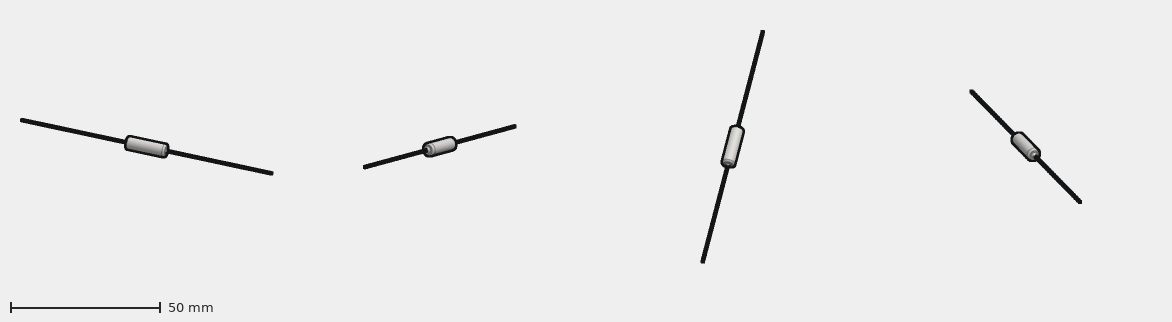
import cadquery as cq

overall_length = 90.42
body_diameter = 4.75
body_length = 14.22
body_edge_radius = 0.75
lead_diameter = 0.81
flare_radius = 0.75

body_radius = body_diameter / 2
lead_radius = lead_diameter / 2

tip_x = overall_length / 2
face_x = body_length / 2
flare_end_x = face_x + flare_radius
barrel_end_x = face_x - body_edge_radius

face_outer_radius = body_radius - body_edge_radius
face_inner_radius = lead_radius + flare_radius


def make_half_profile():
    """Half section above the X axis, drawn from the -X tip to the +X tip."""
    return (
        cq.Workplane("XZ")
        .moveTo(-tip_x, 0)
        .lineTo(-tip_x, lead_radius)
        .lineTo(-flare_end_x, lead_radius)
        .radiusArc((-face_x, face_inner_radius), -flare_radius)
        .lineTo(-face_x, face_outer_radius)
        .radiusArc((-barrel_end_x, body_radius), body_edge_radius)
        .lineTo(barrel_end_x, body_radius)
        .radiusArc((face_x, face_outer_radius), body_edge_radius)
        .lineTo(face_x, face_inner_radius)
        .radiusArc((flare_end_x, lead_radius), -flare_radius)
        .lineTo(tip_x, lead_radius)
        .lineTo(tip_x, 0)
        .close()
    )


result = make_half_profile().revolve(360, (0, 0, 0), (1, 0, 0))